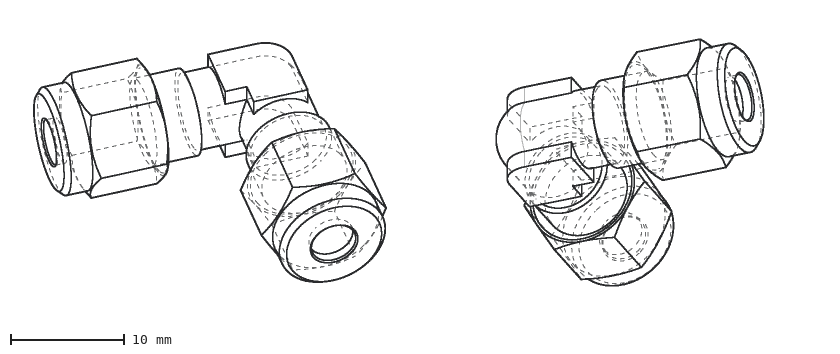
import cadquery as cq
import math

body_radius = 3.5
shoulder_radius = 3.95
shoulder_step_angle = 15
x_leg_shoulder_start = 6.7
y_leg_shoulder_start = 7.0

pad_half_width = 2.5
pad_reach = 4.5
pad_height = 4.0

nut_sides = 6
nut_across_flats = 10.0
nut_start = 10.5
nut_length = 7.0
nut_chamfer_angle = 30
recess_radius = 4.75
recess_depth = recess_radius - shoulder_radius
collar_radius = 4.9
collar_chamfer = 0.5
leg_length = 20.0

socket_radius = 2.05
socket_depth = 1.0
socket_chamfer = 0.15

nut_end = nut_start + nut_length
nut_corner_diameter = nut_across_flats / math.cos(math.pi / nut_sides)


def revolve_about_z(points):
    """Turn a closed (radius, z) profile into a solid about the Z axis."""
    return cq.Workplane("XZ").polyline(points).close().revolve(360, (0, 0), (0, 1))


def make_leg_core(shoulder_start):
    """Round leg with a shoulder, running through the nut to its outer end."""
    step_length = (shoulder_radius - body_radius) * math.tan(math.radians(shoulder_step_angle))
    return revolve_about_z([
        (0, 0),
        (body_radius, 0),
        (body_radius, shoulder_start),
        (shoulder_radius, shoulder_start + step_length),
        (shoulder_radius, nut_end),
        (0, nut_end),
    ])


def make_nut():
    """Hexagon with conical end chamfers and a tapered recess in its inner face."""
    hexagon = (
        cq.Workplane("XY", origin=(0, 0, nut_start))
        .polygon(nut_sides, nut_corner_diameter)
        .extrude(nut_length)
    )
    face_radius = nut_across_flats / 2
    corner_radius = nut_corner_diameter / 2
    chamfer_slope = math.tan(math.radians(nut_chamfer_angle))
    inner_chamfer_length = (corner_radius - face_radius) * chamfer_slope
    collar_chamfer_length = (corner_radius - collar_radius) * chamfer_slope
    turned_envelope = revolve_about_z([
        (0, nut_start),
        (face_radius, nut_start),
        (corner_radius, nut_start + inner_chamfer_length),
        (corner_radius, nut_end - collar_chamfer_length),
        (collar_radius, nut_end),
        (0, nut_end),
    ])
    recess = revolve_about_z([
        (0, nut_start),
        (recess_radius, nut_start),
        (shoulder_radius, nut_start + recess_depth),
        (0, nut_start + recess_depth),
    ])
    return hexagon.intersect(turned_envelope).cut(recess)


def make_collar():
    """Round collar beyond the nut, chamfered at its free end."""
    return (
        cq.Workplane("XY", origin=(0, 0, nut_end))
        .circle(collar_radius)
        .extrude(leg_length - nut_end)
        .faces(">Z")
        .chamfer(collar_chamfer)
    )


def make_socket():
    """Blind bore with a chamfered mouth, as a cutting tool."""
    socket_floor = leg_length - socket_depth
    return revolve_about_z([
        (0, socket_floor),
        (socket_radius, socket_floor),
        (socket_radius, leg_length - socket_chamfer),
        (socket_radius + socket_chamfer, leg_length),
        (0, leg_length),
    ])


def make_leg(shoulder_start):
    """Complete leg along +Z, with two nut corners on the X axis."""
    leg = make_leg_core(shoulder_start).union(make_nut()).union(make_collar())
    return leg.cut(make_socket())


def make_pads():
    """L-shaped block whose outer corner is rounded; its flats stand proud of the legs."""
    return (
        cq.Workplane("XY", origin=(0, 0, -pad_height))
        .moveTo(0, pad_half_width)
        .lineTo(pad_reach, pad_half_width)
        .lineTo(pad_reach, -pad_half_width)
        .lineTo(pad_half_width, -pad_half_width)
        .lineTo(pad_half_width, -pad_reach)
        .lineTo(-pad_half_width, -pad_reach)
        .lineTo(-pad_half_width, 0)
        .radiusArc((0, pad_half_width), pad_half_width)
        .close()
        .extrude(2 * pad_height)
    )


y_leg = make_leg(y_leg_shoulder_start).rotate((0, 0, 0), (1, 0, 0), 90)
x_leg = (
    make_leg(x_leg_shoulder_start)
    .rotate((0, 0, 0), (1, 0, 0), 90)
    .rotate((0, 0, 0), (0, 0, 1), 90)
)
elbow_corner = cq.Workplane("XY").sphere(body_radius)

result = elbow_corner.union(x_leg).union(y_leg).union(make_pads())